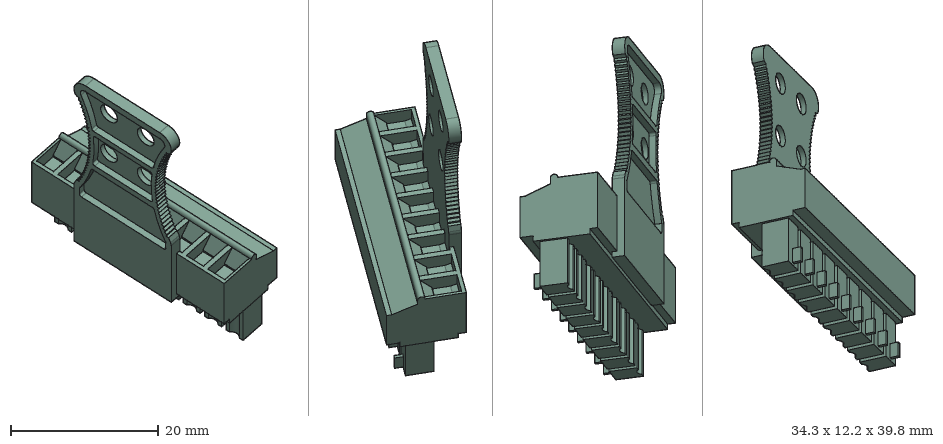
import cadquery as cq
import math


TERMINAL_COUNT = 9
HOUSING_LENGTH = 34.3
PITCH = HOUSING_LENGTH / TERMINAL_COUNT
TERMINAL_WIDTH = 3.02

HOUSING_DEPTH = 11.1
BASE_Z = 6.65
FOOT_TOP_Z = 7.45
FOOT_FRONT_Y = 1.1
FOOT_BACK_Y = 9.22
HOUSING_TOP_Z = 15.65
BACK_TOP_Z = 13.48
ROOF_BACK_Y = 10.37
ROOF_FRONT_Z = 14.83
BEAD_RADIUS = 0.5
BEAD_FRONT_Y = 5.72
BEAD_CENTRE_Y = BEAD_FRONT_Y + BEAD_RADIUS
BEAD_BACK_Y = BEAD_CENTRE_Y + BEAD_RADIUS

POCKET_FRONT_Y = 0.6
POCKET_RAMP_FOOT_Y = 4.05
POCKET_RAMP_DROP = 1.85
POCKET_STEP = 0.28
POCKET_FLOOR_Z = HOUSING_TOP_Z - POCKET_RAMP_DROP - POCKET_STEP
POCKET_FLOOR_FRONT_Y = 1.5
FRONT_RAMP_RISE = 0.28

LEG_FRONT_Y = 4.4
LEG_BACK_Y = 8.4
GROOVE_WIDTH = 1.7
GROOVE_DEPTH = 0.45
GROOVE_RADIUS = ((GROOVE_WIDTH / 2) ** 2 + GROOVE_DEPTH**2) / (2 * GROOVE_DEPTH)
KEY_WIDTH = 0.48
KEY_LENGTH = 1.25
KEY_BOTTOM_Z = 0.4
KEY_TOP_Z = 2.55

HANDLE_TOP_Z = 39.75
HANDLE_HALF_WIDTH = 8.65
HANDLE_THICKNESS = 1.8
HANDLE_STICKOUT = 1.1
HANDLE_BACK_Y = HANDLE_THICKNESS - HANDLE_STICKOUT
LOBE_RADIUS = 2.05
LOBE_X = HANDLE_HALF_WIDTH - LOBE_RADIUS
LOBE_Z = HANDLE_TOP_Z - LOBE_RADIUS
LOBE_END_Z = 36.65
LOBE_END_X = LOBE_X + math.sqrt(LOBE_RADIUS**2 - (LOBE_Z - LOBE_END_Z) ** 2)
SHOULDER_BEND_Z = 18.2
SHOULDER_ARC_TOP = (8.55, 18.7)
SHOULDER_TIP_X = 8.2

WAIST_Z = 27.95
WAIST_HALF_WIDTH = 6.1
TOOTH_TIP_RADIUS = 18.9
TOOTH_HEIGHT = 0.3
TOOTH_VALLEY_RADIUS = TOOTH_TIP_RADIUS + TOOTH_HEIGHT
TOOTH_COUNT = 27
TOOTH_ANGLE = math.radians(1.94)
WAIST_ARC_X = WAIST_HALF_WIDTH + TOOTH_TIP_RADIUS

RECESS_DEPTH = 1.0
RIM_WIDTH = 1.0
RECESS_HALF_WIDTH = HANDLE_HALF_WIDTH - RIM_WIDTH
RECESS_CORNER_RADIUS = 0.35
TOP_RECESS_CORNER_RADIUS = 0.87
TOP_RECESS_Z = (31.52, 38.55)
MIDDLE_RECESS_Z = (24.6, 30.55)
BOTTOM_RECESS_Z = (16.58, 23.57)
HOLE_DIAMETER = 3.0
HOLE_SPACING_X = 6.5
HOLE_ROWS_Z = (27.55, 35.6)

TERMINAL_X = [(i - (TERMINAL_COUNT - 1) / 2) * PITCH for i in range(TERMINAL_COUNT)]


def block(x_range, y_range, z_range):
    """Box that fills the given ranges."""
    size = [high - low for low, high in (x_range, y_range, z_range)]
    corner = (x_range[0], y_range[0], z_range[0])
    return cq.Workplane("XY").box(*size, centered=False).translate(corner)


def housing_body():
    """Housing cross-section drawn in YZ and extruded along the terminal row."""
    crown = (BEAD_CENTRE_Y, HOUSING_TOP_Z + BEAD_RADIUS)
    profile = (
        cq.Workplane("YZ", origin=(-HOUSING_LENGTH / 2, 0, 0))
        .moveTo(0, FOOT_TOP_Z)
        .lineTo(0, HOUSING_TOP_Z)
        .lineTo(BEAD_FRONT_Y, HOUSING_TOP_Z)
        .threePointArc(crown, (BEAD_BACK_Y, HOUSING_TOP_Z))
        .lineTo(BEAD_BACK_Y, ROOF_FRONT_Z)
        .lineTo(ROOF_BACK_Y, BACK_TOP_Z)
        .lineTo(HOUSING_DEPTH, BACK_TOP_Z)
        .lineTo(HOUSING_DEPTH, FOOT_TOP_Z)
        .lineTo(FOOT_BACK_Y, FOOT_TOP_Z)
        .lineTo(FOOT_BACK_Y, BASE_Z)
        .lineTo(FOOT_FRONT_Y, BASE_Z)
        .lineTo(FOOT_FRONT_Y, FOOT_TOP_Z)
        .close()
    )
    return profile.extrude(HOUSING_LENGTH)


def wire_pocket(x):
    """Cutter for one wire pocket: a ramp at the back and a small one at the front."""
    return (
        cq.Workplane("YZ", origin=(x - TERMINAL_WIDTH / 2, 0, 0))
        .moveTo(POCKET_FRONT_Y, HOUSING_TOP_Z)
        .lineTo(BEAD_FRONT_Y, HOUSING_TOP_Z)
        .lineTo(POCKET_RAMP_FOOT_Y, HOUSING_TOP_Z - POCKET_RAMP_DROP)
        .lineTo(POCKET_RAMP_FOOT_Y, POCKET_FLOOR_Z)
        .lineTo(POCKET_FLOOR_FRONT_Y, POCKET_FLOOR_Z)
        .lineTo(POCKET_FRONT_Y, POCKET_FLOOR_Z + FRONT_RAMP_RISE)
        .close()
        .extrude(TERMINAL_WIDTH)
    )


def leg(x):
    """One leg with a round groove down its front and a key on its back."""
    x_range = (x - TERMINAL_WIDTH / 2, x + TERMINAL_WIDTH / 2)
    groove_y = LEG_FRONT_Y + GROOVE_DEPTH - GROOVE_RADIUS
    groove = cq.Workplane("XY").center(x, groove_y).circle(GROOVE_RADIUS).extrude(BASE_Z)
    key = block(
        (x - KEY_WIDTH / 2, x + KEY_WIDTH / 2),
        (LEG_BACK_Y, LEG_BACK_Y + KEY_LENGTH),
        (KEY_BOTTOM_Z, KEY_TOP_Z),
    )
    return block(x_range, (LEG_FRONT_Y, LEG_BACK_Y), (0, BASE_Z)).cut(groove).union(key)


def make_housing():
    """Terminal housing with its legs and the seat for the handle plate."""
    body = housing_body()
    for x in TERMINAL_X:
        body = body.cut(wire_pocket(x)).union(leg(x))
    handle_seat = block(
        (-HANDLE_HALF_WIDTH, HANDLE_HALF_WIDTH), (0, HANDLE_BACK_Y), (BASE_Z, HOUSING_TOP_Z)
    )
    return body.cut(handle_seat)


def tooth_points():
    """Valley and tip points of the right-hand teeth, from bottom to top."""
    points = []
    for step in range(2 * TOOTH_COUNT + 1):
        angle = (step - TOOTH_COUNT) * TOOTH_ANGLE / 2
        radius = TOOTH_VALLEY_RADIUS if step % 2 == 0 else TOOTH_TIP_RADIUS
        points.append((WAIST_ARC_X - radius * math.cos(angle), WAIST_Z + radius * math.sin(angle)))
    return points


def handle_plate():
    """Handle plate: half outline with straight side, teeth and top lobe, mirrored about X = 0."""
    teeth = tooth_points()
    shoulder_tip_z = teeth[0][1]
    outline = (
        cq.Workplane("XZ", origin=(0, HANDLE_BACK_Y, 0))
        .moveTo(0, BASE_Z)
        .lineTo(HANDLE_HALF_WIDTH, BASE_Z)
        .lineTo(HANDLE_HALF_WIDTH, SHOULDER_BEND_Z)
        .tangentArcPoint(SHOULDER_ARC_TOP, relative=False)
        .lineTo(SHOULDER_TIP_X, shoulder_tip_z)
        .polyline(teeth, includeCurrent=True)
        .lineTo(LOBE_END_X, LOBE_END_Z)
        .threePointArc((HANDLE_HALF_WIDTH, LOBE_Z), (LOBE_X, HANDLE_TOP_Z))
        .lineTo(0, HANDLE_TOP_Z)
        .mirrorY()
    )
    return outline.extrude(HANDLE_THICKNESS)


def handle_recess(half_width, z_range, top_corner_radius):
    """Cutter for one recess; its sides follow the waist at a constant rim width."""
    y_range = (-HANDLE_STICKOUT, RECESS_DEPTH - HANDLE_STICKOUT)
    recess = block((-half_width, half_width), y_range, z_range)
    waist = (
        cq.Workplane("XZ", origin=(0, HANDLE_BACK_Y, 0))
        .pushPoints([(-WAIST_ARC_X, WAIST_Z), (WAIST_ARC_X, WAIST_Z)])
        .circle(TOOTH_TIP_RADIUS + RIM_WIDTH)
        .extrude(HANDLE_THICKNESS)
    )
    recess = recess.cut(waist)
    recess = recess.faces(">Z").edges("|Y").fillet(top_corner_radius)
    return recess.faces("<Z").edges("|Y").fillet(RECESS_CORNER_RADIUS)


def make_handle():
    """Pull handle with three front recesses and four through holes."""
    hole_x = HOLE_SPACING_X / 2
    holes = (
        cq.Workplane("XZ", origin=(0, HANDLE_BACK_Y, 0))
        .pushPoints([(x, z) for x in (-hole_x, hole_x) for z in HOLE_ROWS_Z])
        .circle(HOLE_DIAMETER / 2)
        .extrude(HANDLE_THICKNESS)
    )
    plate = handle_plate().cut(holes)
    plate = plate.cut(handle_recess(HANDLE_HALF_WIDTH, TOP_RECESS_Z, TOP_RECESS_CORNER_RADIUS))
    plate = plate.cut(handle_recess(RECESS_HALF_WIDTH, MIDDLE_RECESS_Z, RECESS_CORNER_RADIUS))
    return plate.cut(handle_recess(RECESS_HALF_WIDTH, BOTTOM_RECESS_Z, RECESS_CORNER_RADIUS))


housing = make_housing()
handle = make_handle()

result = cq.Compound.makeCompound([housing.val(), handle.val()])